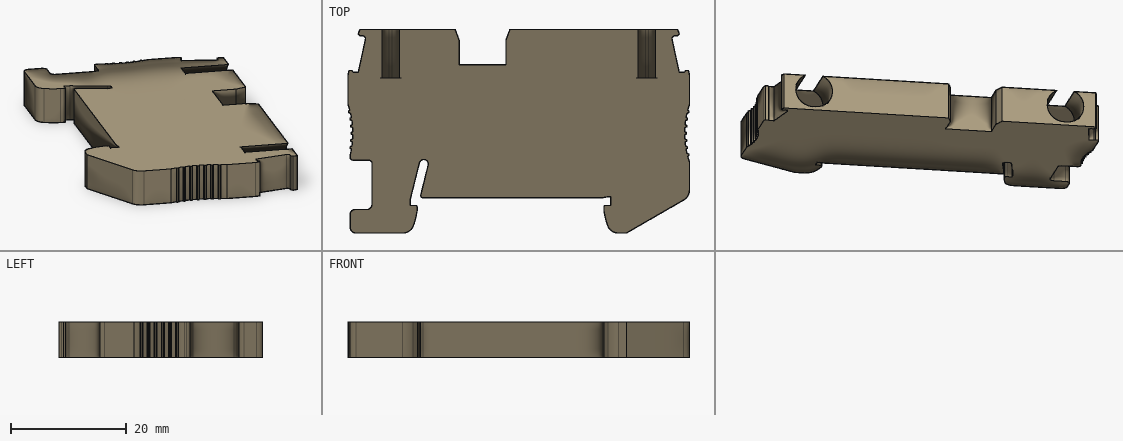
import cadquery as cq
import math

LENGTH = 59.0
WIDTH = 35.2
THICKNESS = 6.2
SIDE_X = LENGTH / 2
TOP_Y = WIDTH / 2
BOTTOM_Y = -WIDTH / 2

TAB_END_X = 27.45
TAB_NOSE_UPPER = (27.6, 17.15)
TAB_NOSE_LOWER = (27.75, 16.8)
TAB_UNDER_Y = 16.45
TAB_NECK_X = 26.4
NECK_FILLET = 0.5
NECK_FOOT_X = 27.75
SHOULDER_LOW_Y = 10.2
SHOULDER_HIGH_Y = 10.5
SHOULDER_STEP_X = (28.6, 28.8)
SHOULDER_END_X = 29.3
SIDE_START_Y = 9.75

GRIP_CENTRE_Y = -0.35
GRIP_HALF_HEIGHT = 4.95
GRIP_DEPTH = 0.8
GRIP_RADIUS = (GRIP_HALF_HEIGHT**2 + GRIP_DEPTH**2) / (2 * GRIP_DEPTH)
RIB_PITCH = 1.25
RIB_TIP_WIDTH = 0.25
RIB_ROOT_WIDTH = 0.55
RIB_HEIGHT = 0.3
RIB_ROOT = 0.3
RIBS_ABOVE_CENTRE = 3
LEFT_RIBS_BELOW_CENTRE = 2
RIGHT_RIBS_BELOW_CENTRE = 3

NOTCH_CENTRE_X = -6.25
NOTCH_HALF_WIDTH = 4.0
NOTCH_MOUTH_HALF_WIDTH = 4.7
NOTCH_FLARE_Y = 15.7
NOTCH_FLOOR_Y = 11.5

LEFT_FOOT_X = -29.15
RECESS_TOP_Y = -5.0
RECESS_WALL_X = -25.35
LEFT_FOOT_TOP_Y = -13.5
RECESS_TOP_FILLET = 0.55
LEFT_FOOT_FILLET = 0.9
LEFT_FOOT_BOTTOM_FILLET = 1.05

RAIL_CENTRE_X = -1.4
UNDERCUT_HALF_WIDTH = 17.3
LIP_HALF_WIDTH = 16.1
LIP_TOP_Y = -12.8
LIP_CORNER_FILLET = 0.3
FLANK_START_Y = -13.7
FLANK_MIDDLE = (16.4, -15.15)
TOE_START = (16.8, -16.45)
TOE_END_HALF_WIDTH = 18.65
TOE_REACH = TOE_END_HALF_WIDTH - TOE_START[0]
TOE_RISE = TOE_START[1] - BOTTOM_Y
TOE_RADIUS = (TOE_REACH**2 + TOE_RISE**2) / (2 * TOE_RISE)
TOE_HALF_SWEEP = math.asin(TOE_REACH / TOE_RADIUS) / 2
TOE_MIDDLE = (
    TOE_END_HALF_WIDTH - TOE_RADIUS * math.sin(TOE_HALF_SWEEP),
    BOTTOM_Y + TOE_RADIUS * (1 - math.cos(TOE_HALF_SWEEP)),
)
RAIL_SEAT_Y = -11.5
SEAT_RAMP_START_X = 14.45
SEAT_RAMP_END_X = 15.45
SEAT_RAMP_TOP_Y = -11.3

SLOT_ANGLE = math.radians(14)
SLOT_RADIUS = 0.75
SLOT_TIP_X = -16.4
SLOT_TIP_Y = -5.65
SLOT_CORNER_FILLET = 0.4

RIGHT_SLOPE_START_X = 18.6
RIGHT_SLOPE = math.tan(math.radians(30))
RIGHT_CORNER_FILLET = 2.0

BORE_X = 22.1
BORE_LENGTH = 8.45
BORE_RADIUS = 2.95
BORE_FLAT_WIDTH = 0.55
BORE_MOUTH_WIDTH = 3.05
BORE_MOUTH_OFFSET = (BORE_MOUTH_WIDTH - BORE_FLAT_WIDTH) / 2
BORE_DEPTH = math.sqrt(BORE_RADIUS**2 - BORE_MOUTH_OFFSET**2)


def grip_x(y):
    """Distance of the concave grip surface from the YZ plane at height y."""
    rise = GRIP_RADIUS - math.sqrt(GRIP_RADIUS**2 - (y - GRIP_CENTRE_Y) ** 2)
    return SIDE_X - GRIP_DEPTH + rise


def grip_end_y(x):
    """Lower y at which the grip surface reaches the distance x."""
    rise = x - (SIDE_X - GRIP_DEPTH)
    return GRIP_CENTRE_Y - math.sqrt(GRIP_RADIUS**2 - (GRIP_RADIUS - rise) ** 2)


def end_points(side):
    """Corners from the tip of the tab down to the grip; side is -1 or 1."""
    return [
        (side * TAB_END_X, TOP_Y),
        (side * TAB_NOSE_UPPER[0], TAB_NOSE_UPPER[1]),
        (side * TAB_NOSE_LOWER[0], TAB_NOSE_LOWER[1]),
        (side * TAB_END_X, TAB_UNDER_Y),
        (side * TAB_NECK_X, TAB_UNDER_Y),
        (side * NECK_FOOT_X, SHOULDER_LOW_Y),
        (side * SHOULDER_STEP_X[0], SHOULDER_LOW_Y),
        (side * SHOULDER_STEP_X[1], SHOULDER_HIGH_Y),
        (side * SHOULDER_END_X, SHOULDER_HIGH_Y),
        (side * SIDE_X, SIDE_START_Y),
        (side * SIDE_X, GRIP_CENTRE_Y + GRIP_HALF_HEIGHT),
    ]


def rail_point(side, half_width, y):
    return (RAIL_CENTRE_X + side * half_width, y)


def slot_wall_point(side):
    """Point where the rounded slot tip meets the left (-1) or right (1) slot wall."""
    return (
        SLOT_TIP_X + side * SLOT_RADIUS * math.cos(SLOT_ANGLE),
        SLOT_TIP_Y - side * SLOT_RADIUS * math.sin(SLOT_ANGLE),
    )


def make_body():
    """Extruded outline, drawn anticlockwise from the left end of the top edge."""
    left_end = end_points(-1)
    right_end = end_points(1)[::-1]
    left_undercut_x = RAIL_CENTRE_X - UNDERCUT_HALF_WIDTH
    right_undercut_x = RAIL_CENTRE_X + UNDERCUT_HALF_WIDTH
    grip_middle = (SIDE_X - GRIP_DEPTH, GRIP_CENTRE_Y)
    grip_bottom_y = GRIP_CENTRE_Y - GRIP_HALF_HEIGHT
    right_corner_y = BOTTOM_Y + (SIDE_X - RIGHT_SLOPE_START_X) * RIGHT_SLOPE

    slot_left = slot_wall_point(-1)
    slot_right = slot_wall_point(1)
    slot_top = (
        SLOT_TIP_X + SLOT_RADIUS * math.sin(SLOT_ANGLE),
        SLOT_TIP_Y + SLOT_RADIUS * math.cos(SLOT_ANGLE),
    )
    slot_mouth_y = slot_left[1] - (slot_left[0] - left_undercut_x) / math.tan(SLOT_ANGLE)
    slot_corner_x = slot_right[0] - (slot_right[1] - RAIL_SEAT_Y) * math.tan(SLOT_ANGLE)

    outline = cq.Workplane("XY", origin=(0, 0, -THICKNESS / 2)).moveTo(*left_end[0])

    for point in left_end[1:]:
        outline = outline.lineTo(*point)
    outline = outline.threePointArc(
        (-grip_middle[0], grip_middle[1]), (LEFT_FOOT_X, grip_end_y(-LEFT_FOOT_X))
    )
    outline = (
        outline.lineTo(LEFT_FOOT_X, RECESS_TOP_Y)
        .lineTo(RECESS_WALL_X, RECESS_TOP_Y)
        .lineTo(RECESS_WALL_X, LEFT_FOOT_TOP_Y)
        .lineTo(LEFT_FOOT_X, LEFT_FOOT_TOP_Y)
        .lineTo(LEFT_FOOT_X, BOTTOM_Y)
    )

    outline = (
        outline.lineTo(*rail_point(-1, TOE_END_HALF_WIDTH, BOTTOM_Y))
        .threePointArc(rail_point(-1, *TOE_MIDDLE), rail_point(-1, *TOE_START))
        .threePointArc(
            rail_point(-1, *FLANK_MIDDLE), rail_point(-1, LIP_HALF_WIDTH, FLANK_START_Y)
        )
        .lineTo(*rail_point(-1, LIP_HALF_WIDTH, LIP_TOP_Y))
        .lineTo(left_undercut_x, LIP_TOP_Y)
        .lineTo(left_undercut_x, slot_mouth_y)
        .lineTo(*slot_left)
        .threePointArc(slot_top, slot_right)
        .lineTo(slot_corner_x, RAIL_SEAT_Y)
    )

    outline = (
        outline.lineTo(SEAT_RAMP_START_X, RAIL_SEAT_Y)
        .lineTo(SEAT_RAMP_END_X, SEAT_RAMP_TOP_Y)
        .lineTo(right_undercut_x, SEAT_RAMP_TOP_Y)
        .lineTo(right_undercut_x, LIP_TOP_Y)
        .lineTo(*rail_point(1, LIP_HALF_WIDTH, LIP_TOP_Y))
        .lineTo(*rail_point(1, LIP_HALF_WIDTH, FLANK_START_Y))
        .threePointArc(rail_point(1, *FLANK_MIDDLE), rail_point(1, *TOE_START))
        .threePointArc(
            rail_point(1, *TOE_MIDDLE), rail_point(1, TOE_END_HALF_WIDTH, BOTTOM_Y)
        )
        .lineTo(RIGHT_SLOPE_START_X, BOTTOM_Y)
        .lineTo(SIDE_X, right_corner_y)
    )

    outline = outline.lineTo(SIDE_X, grip_bottom_y)
    outline = outline.threePointArc(grip_middle, right_end[0])
    for point in right_end[1:]:
        outline = outline.lineTo(*point)

    body = outline.close().extrude(THICKNESS)

    corner_fillets = [
        (-TAB_NECK_X, TAB_UNDER_Y, NECK_FILLET),
        (TAB_NECK_X, TAB_UNDER_Y, NECK_FILLET),
        (LEFT_FOOT_X, RECESS_TOP_Y, RECESS_TOP_FILLET),
        (RECESS_WALL_X, RECESS_TOP_Y, RECESS_TOP_FILLET),
        (RECESS_WALL_X, LEFT_FOOT_TOP_Y, LEFT_FOOT_FILLET),
        (LEFT_FOOT_X, LEFT_FOOT_TOP_Y, LEFT_FOOT_FILLET),
        (LEFT_FOOT_X, BOTTOM_Y, LEFT_FOOT_BOTTOM_FILLET),
        (*rail_point(-1, LIP_HALF_WIDTH, LIP_TOP_Y), LIP_CORNER_FILLET),
        (*rail_point(1, LIP_HALF_WIDTH, LIP_TOP_Y), LIP_CORNER_FILLET),
        (slot_corner_x, RAIL_SEAT_Y, SLOT_CORNER_FILLET),
        (SIDE_X, right_corner_y, RIGHT_CORNER_FILLET),
    ]
    for x, y, radius in corner_fillets:
        corner_edge = cq.selectors.NearestToPointSelector((x, y, 0))
        body = body.edges("|Z").edges(corner_edge).fillet(radius)
    return body


def make_notch():
    """Cutter for the top notch with its flared mouth."""
    left_half = [
        (-NOTCH_MOUTH_HALF_WIDTH, TOP_Y),
        (-NOTCH_HALF_WIDTH, NOTCH_FLARE_Y),
        (-NOTCH_HALF_WIDTH, NOTCH_FLOOR_Y),
    ]
    right_half = [(-x, y) for x, y in reversed(left_half)]
    return (
        cq.Workplane("XY")
        .polyline(left_half + right_half)
        .close()
        .extrude(THICKNESS / 2, both=True)
        .translate((NOTCH_CENTRE_X, 0, 0))
    )


def make_ribs(side, ribs_below):
    """Full-thickness tapered ribs standing on one grip surface; side is -1 or 1."""
    profile = [
        (-RIB_ROOT, -RIB_ROOT_WIDTH / 2),
        (0, -RIB_ROOT_WIDTH / 2),
        (RIB_HEIGHT, -RIB_TIP_WIDTH / 2),
        (RIB_HEIGHT, RIB_TIP_WIDTH / 2),
        (0, RIB_ROOT_WIDTH / 2),
        (-RIB_ROOT, RIB_ROOT_WIDTH / 2),
    ]
    side_profile = [(side * x, y) for x, y in profile]
    rib = cq.Workplane("XY").polyline(side_profile).close().extrude(THICKNESS / 2, both=True)
    ribs = cq.Workplane("XY")
    for index in range(-ribs_below, RIBS_ABOVE_CENTRE + 1):
        y = GRIP_CENTRE_Y + index * RIB_PITCH
        ribs = ribs.union(rib.translate((side * grip_x(y), y, 0)))
    return ribs


def make_bore(x):
    """Cutter for one obround bore whose side breaks through the upper face."""
    axis_z = THICKNESS / 2 - BORE_DEPTH
    return (
        cq.Workplane("XZ", origin=(x, TOP_Y, axis_z))
        .slot2D(BORE_FLAT_WIDTH + 2 * BORE_RADIUS, 2 * BORE_RADIUS)
        .extrude(BORE_LENGTH)
    )


result = (
    make_body()
    .cut(make_notch())
    .union(make_ribs(-1, LEFT_RIBS_BELOW_CENTRE))
    .union(make_ribs(1, RIGHT_RIBS_BELOW_CENTRE))
    .cut(make_bore(-BORE_X))
    .cut(make_bore(BORE_X))
)